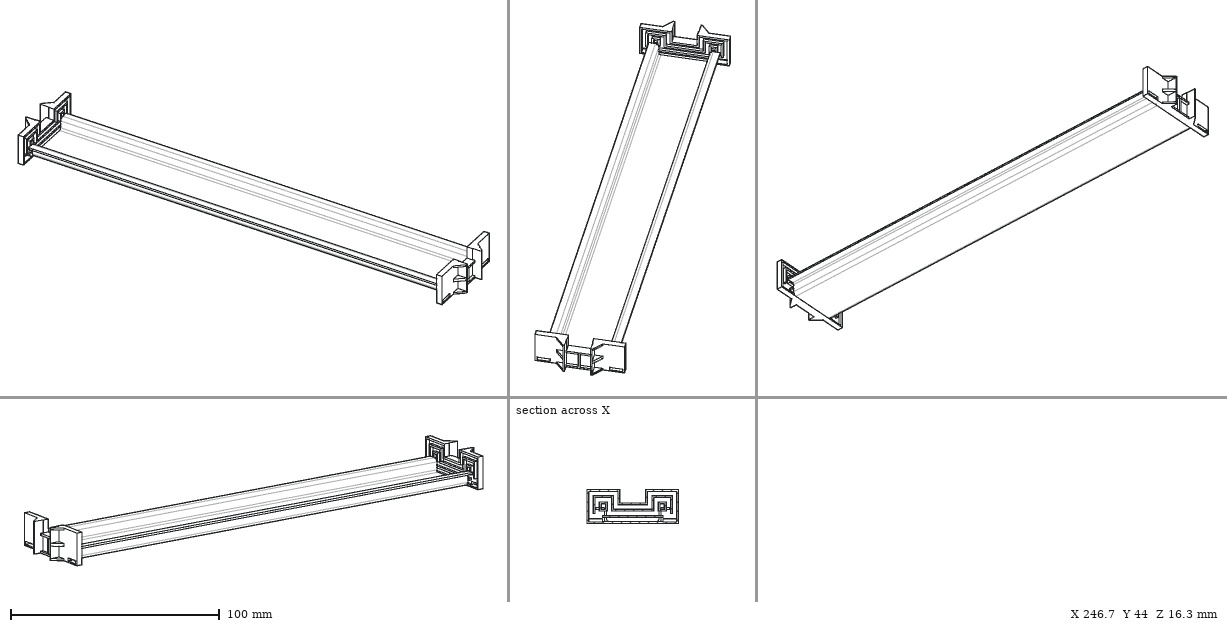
import cadquery as cq

length = 246.7
width = 44.0
height = 16.3

rail_width = 35.0
rail_height = 7.6
sheet = 1.0
channel_width = 25.0
bend_inside = 0.7
foot_bend = 1.0

plate_thickness = 3.0
notch_width = 12.3
notch_floor = 9.9
wall = 1.0

wedge_reach = 5.0
wedge_width = 5.2
web_thickness = 0.7
wedge_setback = 0.2
middle_rib = 1.5
middle_rib_base = 7.2

bridge_reach = 1.5

groove_width = 2.0
groove_depth = 1.5
groove_count = 3

slit_width = 6.5
slit_height = 1.5
slit_mouth_height = 4.0
slit_floor = 0.7

tip_x = -length / 2
face_x = tip_x + wedge_reach
inner_x = face_x + plate_thickness
notch_y = notch_width / 2
edge_y = width / 2


def box(x_range, y_range, z_range):
    """Box that spans the given ranges."""
    sizes = [high - low for low, high in (x_range, y_range, z_range)]
    corner = (x_range[0], y_range[0], z_range[0])
    return cq.Workplane("XY").box(*sizes, centered=False).translate(corner)


def both_sides(shape):
    """The shape together with its mirror image across the XZ plane."""
    return shape.union(shape.mirror("XZ"))


def make_rail():
    """Top-hat rail: floor, two side walls and two outward flanges, joined by round bends."""
    inner_y = channel_width / 2
    outer_y = inner_y + sheet
    flange_y = rail_width / 2
    flange_base = rail_height - sheet
    half_section = [
        (outer_y, 0), (outer_y, flange_base), (flange_y, flange_base),
        (flange_y, rail_height), (inner_y, rail_height), (inner_y, sheet),
    ]
    other_half = [(-y, z) for y, z in reversed(half_section)]
    rail = (
        cq.Workplane("YZ", origin=(inner_x, 0, 0))
        .polyline(half_section + other_half).close()
        .extrude(-2 * inner_x)
    )
    bend_outside = bend_inside + sheet
    bends = [
        (outer_y, 0, bend_outside), (inner_y, rail_height, bend_outside),
        (outer_y, flange_base, bend_inside), (inner_y, sheet, foot_bend),
    ]
    for y, z, radius in bends:
        for side_y in (-y, y):
            rail = rail.edges(cq.selectors.NearestToPointSelector((0, side_y, z))).fillet(radius)
    return rail


def inset_area(inset, depth):
    """Notched plate outline, moved inward by the inset and cut to the depth from the inner face."""
    x_range = (inner_x - depth, inner_x)
    ear = box(x_range, (notch_y + inset, edge_y - inset), (inset, height - inset))
    area = both_sides(ear)
    if 2 * inset < notch_floor:
        reach = notch_y + inset
        area = area.union(box(x_range, (-reach, reach), (inset, notch_floor - inset)))
    return area


def make_grooves():
    """Nested grooves that follow the plate outline, with thin ribs between and a pocket at the center."""
    grooves = []
    for number in range(groove_count):
        inset = wall + number * (groove_width + wall)
        groove = inset_area(inset, groove_depth)
        if number < groove_count - 1:
            groove = groove.cut(inset_area(inset + groove_width, groove_depth))
        grooves.append(groove)
    return grooves


def make_wedge():
    """Thin upright web with a triangular rib at its foot, middle and top."""
    web_y = notch_y + wedge_setback
    outer_y = web_y + web_thickness
    wedge = box((tip_x, face_x), (web_y, outer_y), (0, height))
    outline = [(face_x, web_y), (tip_x, web_y), (tip_x, outer_y), (face_x, notch_y + wedge_width)]
    ribs = [(0, wall), (middle_rib_base, middle_rib), (height - wall, wall)]
    for base, thickness in ribs:
        rib = cq.Workplane("XY", origin=(0, 0, base)).polyline(outline).close().extrude(thickness)
        wedge = wedge.union(rib)
    return wedge


def make_bridge():
    """Shelf, foot and middle post between the two wedges."""
    x_range = (face_x - bridge_reach, face_x)
    span = (-notch_y - wedge_setback, notch_y + wedge_setback)
    shelf = box(x_range, span, (notch_floor - wall, notch_floor))
    foot = box(x_range, span, (0, wall))
    post = box(x_range, (-wall / 2, wall / 2), (0, notch_floor))
    return shelf.union(foot).union(post)


def make_slit():
    """Slit through an ear, with a taller mouth at the inner face."""
    y_range = (edge_y - wall - slit_width, edge_y - wall)
    slit = box((face_x, inner_x), y_range, (slit_floor, slit_floor + slit_height))
    mouth = box((inner_x - groove_depth, inner_x), y_range, (slit_floor, slit_floor + slit_mouth_height))
    return slit.union(mouth)


def make_end_cap():
    """End cap at the -X end of the rail."""
    cap = inset_area(0, plate_thickness)
    for groove in make_grooves():
        cap = cap.cut(groove)
    cap = cap.union(both_sides(make_wedge())).union(make_bridge())
    return cap.cut(both_sides(make_slit()))


rail = make_rail()
left_cap = make_end_cap()
right_cap = left_cap.mirror("YZ")

result = cq.Compound.makeCompound([rail.val(), left_cap.val(), right_cap.val()])